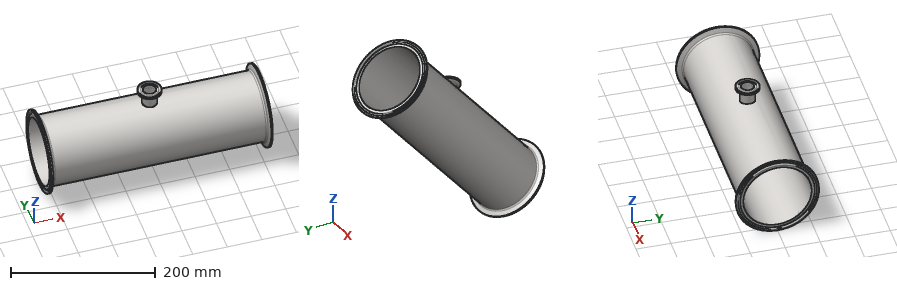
import cadquery as cq
import math

length = 320.0
tube_od = 101.5
tube_id = 97.5
flange_od = 119.0
rim_thickness = 2.5
neck_fillet = 2.5
groove_radius = 54.88

port_top = 73.3
port_od = 21.8
port_id = 18.2
port_flange_od = 34.0
port_rim_thickness = 3.0
port_neck_fillet = 1.5
port_groove_radius = 14.0

cone_angle = 20.0
groove_half_width = 1.5
groove_depth = 1.45
lip_fillet = 0.5


def circle_edges(body, radius, height):
    """Find the circular edges of a given radius and height about the Z axis."""
    tolerance = 0.003
    return body.edges("%CIRCLE").filter(
        lambda edge: abs(edge.radius() - radius) < tolerance
        and abs(edge.Center().z - height) < tolerance
    )


def flanged_stub(stub_length, tube_dia, flange_dia, rim, neck_radius, groove_mid):
    """Solid round stub on Z, with a grooved clamp flange whose face is at Z = 0."""
    tube_r = tube_dia / 2
    flange_r = flange_dia / 2
    cone_height = (flange_r - tube_r) * math.tan(math.radians(cone_angle))
    neck_z = -rim - cone_height
    stub = (
        cq.Workplane("XZ")
        .moveTo(0, 0)
        .lineTo(flange_r, 0)
        .lineTo(flange_r, -rim)
        .lineTo(tube_r, neck_z)
        .lineTo(tube_r, -stub_length)
        .lineTo(0, -stub_length)
        .close()
        .revolve(360, (0, 0, 0), (0, 1, 0))
    )
    stub = circle_edges(stub, tube_r, neck_z).fillet(neck_radius)

    inner_r = groove_mid - groove_half_width
    outer_r = groove_mid + groove_half_width
    groove = (
        cq.Workplane("XZ")
        .moveTo(inner_r, 0)
        .threePointArc((groove_mid, -groove_depth), (outer_r, 0))
        .close()
        .revolve(360, (0, 0, 0), (0, 1, 0))
    )
    stub = stub.cut(groove)
    for lip_radius in (inner_r, outer_r):
        stub = circle_edges(stub, lip_radius, 0).fillet(lip_fillet)
    return stub


half_tube = flanged_stub(
    length / 2, tube_od, flange_od, rim_thickness, neck_fillet, groove_radius
)
right_half = half_tube.rotate((0, 0, 0), (0, 1, 0), 90).translate((length / 2, 0, 0))
left_half = right_half.rotate((0, 0, 0), (0, 0, 1), 180)
main_tube = right_half.union(left_half).clean()

port = flanged_stub(
    port_top, port_od, port_flange_od, port_rim_thickness, port_neck_fillet, port_groove_radius
).translate((0, 0, port_top))

tube_bore = cq.Workplane("YZ").circle(tube_id / 2).extrude(length / 2, both=True)
port_bore = cq.Workplane("XY").circle(port_id / 2).extrude(port_top)

result = main_tube.union(port).cut(tube_bore).cut(port_bore)